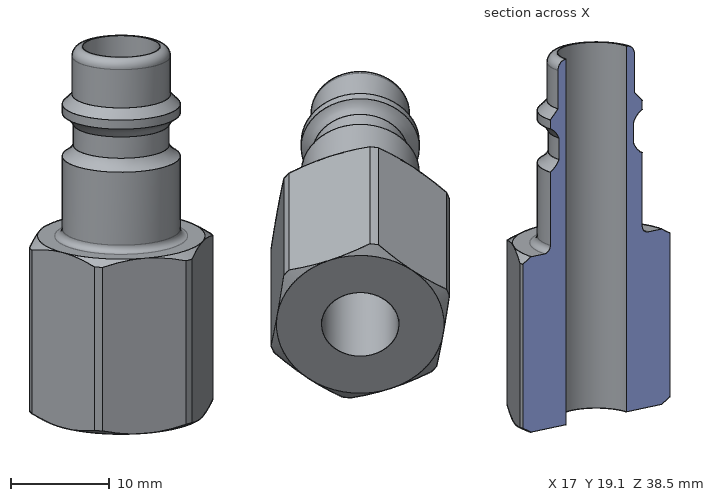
import cadquery as cq
import math

hex_sides = 6
hex_across_flats = 17.0
hex_across_corners = 19.15
hex_height = 18.5
hex_chamfer_angle = 30.0

total_height = 38.5
bore_diameter = 7.85
body_diameter = 12.0
neck_diameter = 9.75
nose_diameter = 10.0
base_fillet = 0.75
nose_fillet = 1.0
collar_bevel_angle = 45.0

tip_to_collar_bevel = 5.05
tip_to_neck_bottom = 10.4
collar_rim_height = 0.95

flare_height = 1.15
flare_radius = 2.5

bore_radius = bore_diameter / 2
body_radius = body_diameter / 2
neck_radius = neck_diameter / 2
nose_radius = nose_diameter / 2

collar_bevel_top = total_height - tip_to_collar_bevel
bevel_height = (body_radius - nose_radius) * math.tan(math.radians(collar_bevel_angle))
collar_rim_top = collar_bevel_top - bevel_height
collar_rim_bottom = collar_rim_top - collar_rim_height
neck_top = collar_rim_bottom - flare_height
neck_bottom = total_height - tip_to_neck_bottom
body_top = neck_bottom - flare_height


def quarter_arc_middle(center_r, center_z, radius, side_r, side_z):
    """Middle of a quarter arc, in the quadrant given by the signs side_r and side_z."""
    offset = radius / math.sqrt(2)
    return (center_r + side_r * offset, center_z + side_z * offset)


def flare_middle(neck_end, body_end, side_z):
    """Middle of a concave arc from the neck to the body radius; side_z is +1 above the neck, -1 below."""
    step_r = body_radius - neck_radius
    chord = math.hypot(step_r, flare_height)
    bulge = flare_radius - math.sqrt(flare_radius**2 - (chord / 2) ** 2)
    middle_r = (neck_radius + body_radius) / 2 - bulge * flare_height / chord
    middle_z = (neck_end + body_end) / 2 + side_z * bulge * step_r / chord
    return (middle_r, middle_z)


def make_hex_base():
    half_side_angle = 180 / hex_sides
    circumscribed_diameter = hex_across_flats / math.cos(math.radians(half_side_angle))
    prism = (
        cq.Workplane("XY")
        .polygon(hex_sides, circumscribed_diameter)
        .extrude(hex_height)
        .rotate((0, 0, 0), (0, 0, 1), half_side_angle)
    )
    flat_radius = hex_across_flats / 2
    corner_radius = hex_across_corners / 2
    chamfer_height = (corner_radius - flat_radius) * math.tan(math.radians(hex_chamfer_angle))
    turned_envelope = (
        cq.Workplane("XZ")
        .moveTo(0, 0)
        .lineTo(flat_radius, 0)
        .lineTo(corner_radius, chamfer_height)
        .lineTo(corner_radius, hex_height - chamfer_height)
        .lineTo(flat_radius, hex_height)
        .lineTo(0, hex_height)
        .close()
        .revolve(360, (0, 0), (0, 1))
    )
    return prism.intersect(turned_envelope)


def make_plug():
    base_fillet_radius = body_radius + base_fillet
    base_fillet_top = hex_height + base_fillet
    nose_fillet_bottom = total_height - nose_fillet
    nose_face_radius = nose_radius - nose_fillet

    base_arc = quarter_arc_middle(base_fillet_radius, base_fillet_top, base_fillet, -1, -1)
    lower_flare = flare_middle(neck_bottom, body_top, -1)
    upper_flare = flare_middle(neck_top, collar_rim_bottom, 1)
    nose_arc = quarter_arc_middle(nose_face_radius, nose_fillet_bottom, nose_fillet, 1, 1)

    return (
        cq.Workplane("XZ")
        .moveTo(0, 0)
        .lineTo(base_fillet_radius, 0)
        .lineTo(base_fillet_radius, hex_height)
        .threePointArc(base_arc, (body_radius, base_fillet_top))
        .lineTo(body_radius, body_top)
        .threePointArc(lower_flare, (neck_radius, neck_bottom))
        .lineTo(neck_radius, neck_top)
        .threePointArc(upper_flare, (body_radius, collar_rim_bottom))
        .lineTo(body_radius, collar_rim_top)
        .lineTo(nose_radius, collar_bevel_top)
        .lineTo(nose_radius, nose_fillet_bottom)
        .threePointArc(nose_arc, (nose_face_radius, total_height))
        .lineTo(0, total_height)
        .close()
        .revolve(360, (0, 0), (0, 1))
    )


def make_bore():
    return cq.Workplane("XY").circle(bore_radius).extrude(total_height)


result = make_hex_base().union(make_plug()).cut(make_bore())